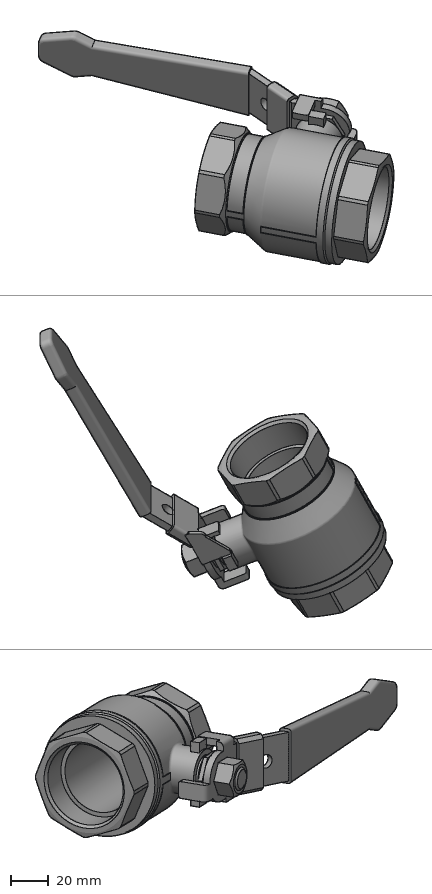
import cadquery as cq
import math


edge_margin = 0.2

half_length = 47.0
barrel_radius = 33.5
band_height = 0.52
band_width = 4.2
collar_radius = barrel_radius + band_height
neck_radius = 26.65
neck_left = -30.1
neck_right = -20.0
cone_right = -8.8
cone_rounding = 2.0
collar_left = 21.65
collar_right = 25.5
collar_foot = 26.3
shoulder_radius = 33.2
shoulder_right = 30.1
panel_margin = 0.6

octagon_radius = 29.3
octagon_apothem = 27.4
end_chamfer_radius = 26.5
end_chamfer_length = 0.6
corner_cone_length = 2.5

port_diameter = 40.0
thread_diameter = 44.7
thread_depth = 16.7
entry_diameter = 47.7
entry_depth = 1.5

stem_diameter = 26.0
stem_top = 47.5
stem_fillet = 1.3
stop_half_width = 4.2
stop_half_length = 18.0
stop_bottom = 41.2
stop_top = 46.5
gland_diameter = 20.0
gland_top = 48.7
gland_nut_bottom = 50.0
gland_nut_top = 52.5
gland_nut_corners = 25.7
collar_diameter = 18.5
spindle_diameter = 13.4
spindle_top = 69.6
spindle_chamfer = 1.5
nut_corners = 20.7
nut_top = 68.5
nut_chamfer_rise = 1.3
nut_chamfer_inset = 2.5

sheet = 4.0
plate_bottom = 54.2
plate_top = plate_bottom + sheet
plate_half_width = 13.5
plate_arc_centre = 1.3
bend_x = -17.1
strip_angle = 30.0
strip_length = 34.3
strip_hole_diameter = 7.5
strip_hole_place = 19.7
tab_bottom = 41.2
bend_radius = 2.7
tab_corner = 1.5

end_tab_outer = 18.5
end_tab_low = -9.5
end_tab_high = 0.0

side_tab_left = -13.28
side_tab_right = -4.2
side_tab_root_right = -0.8
side_tab_outer = 18.5

grip_left = -162.0
grip_right = -45.2
grip_waist = -132.0
grip_widest = -142.5
grip_right_half_width = 15.3
grip_waist_half_width = 10.5
grip_widest_half_width = 14.2
grip_left_half_width = 7.1
grip_top_left = 79.7
grip_top_right = 75.7
grip_bottom_left = 72.3
grip_bottom_right = 68.8
grip_fillet = 1.9
grip_corner = 4.0

slide_wall = 1.78
slide_half_width = 15.7
slide_start = 1.5
slide_end = 17.0
slide_fillet = 1.7
slide_chamfer = 2.0
lock_tab_left = -19.0
lock_tab_right = -16.62
lock_tab_low = -13.8
lock_tab_high = -4.4
lock_tab_bottom = 41.8
wing_inner = 13.5
wing_outer = 15.9
wing_left = -25.0
wing_top = 58.5
wing_left_bottom = 56.0
wing_heel_start = (-23.0, 51.6)
wing_heel_middle = (-21.7, 49.8)
wing_heel_end = (-19.5, 49.0)
wing_toe = -6.3


def cylinder_x(radius, start, end):
    return cq.Workplane("YZ", origin=(start, 0, 0)).circle(radius).extrude(end - start)


def cylinder_y(diameter, start, end):
    return cq.Workplane("XZ", origin=(0, start, 0)).circle(diameter / 2).extrude(start - end)


def hexagon_y(corners, start, end):
    return cq.Workplane("XZ", origin=(0, start, 0)).polygon(6, corners).extrude(start - end)


def box_between(x_range, y_range, z_range):
    sizes = [high - low for low, high in (x_range, y_range, z_range)]
    corner = (x_range[0], y_range[0], z_range[0])
    return cq.Workplane("XY").box(*sizes, centered=False).translate(corner)


def turned_x(points):
    """Solid of revolution about X from (x, radius) points."""
    return cq.Workplane("XY").polyline(points).close().revolve(360, (0, 0, 0), (1, 0, 0))


def octagon_prism(start, end):
    corner_diameter = 2 * octagon_apothem / math.cos(math.pi / 8)
    return cq.Workplane("YZ", origin=(start, 0, 0)).polygon(8, corner_diameter).extrude(end - start)


def pipe_ends():
    """Octagonal ends with turned corners and chamfered faces."""
    left_turning = turned_x([
        (-half_length, 0),
        (-half_length, end_chamfer_radius),
        (-half_length + end_chamfer_length, octagon_radius),
        (neck_left - corner_cone_length, octagon_radius),
        (neck_left, neck_radius),
        (neck_left, 0),
    ])
    right_turning = turned_x([
        (shoulder_right, 0),
        (shoulder_right, octagon_radius),
        (half_length - end_chamfer_length, octagon_radius),
        (half_length, end_chamfer_radius),
        (half_length, 0),
    ])
    left_end = octagon_prism(-half_length, neck_left).intersect(left_turning)
    right_end = octagon_prism(shoulder_right, half_length).intersect(right_turning)
    return left_end, right_end


def barrel():
    """Turned shape between the two octagonal ends."""
    turned = turned_x([
        (neck_left, 0),
        (neck_left, neck_radius),
        (neck_right, neck_radius),
        (cone_right, barrel_radius),
        (collar_left, barrel_radius),
        (collar_left, collar_radius),
        (collar_right, collar_radius),
        (collar_foot, shoulder_radius),
        (shoulder_right, shoulder_radius),
        (shoulder_right, 0),
    ])
    cone_edge = cq.selectors.BoxSelector(
        (cone_right - edge_margin, -2 * barrel_radius, -2 * barrel_radius),
        (cone_right + edge_margin, 2 * barrel_radius, 2 * barrel_radius),
        boundingbox=True,
    )
    return turned.edges(cone_edge).fillet(cone_rounding)


def parting_slab():
    """Slab in which the parting bands of the neck and the barrel lie."""
    return cq.Workplane("XY").box(4 * half_length, 4 * barrel_radius, band_width)


def neck_panels():
    """Ring cutter for the recessed neck panels, interrupted at the parting bands."""
    start = neck_left + panel_margin
    end = neck_right - panel_margin
    ring = cylinder_x(barrel_radius, start, end).cut(cylinder_x(neck_radius - band_height, start, end))
    return ring.cut(parting_slab())


def barrel_bands():
    """Raised parting bands, from the cone to the collar."""
    return cylinder_x(collar_radius, cone_right, collar_left).intersect(parting_slab())


def bore():
    """Through port with a wider, chamfered thread bore at each end."""
    thread_end = half_length - thread_depth
    entry_end = half_length - entry_depth
    return turned_x([
        (-half_length, 0),
        (-half_length, entry_diameter / 2),
        (-entry_end, thread_diameter / 2),
        (-thread_end, thread_diameter / 2),
        (-thread_end, port_diameter / 2),
        (thread_end, port_diameter / 2),
        (thread_end, thread_diameter / 2),
        (entry_end, thread_diameter / 2),
        (half_length, entry_diameter / 2),
        (half_length, 0),
    ])


def lever_nut():
    """Hexagon nut above the lever plate, with turned upper corners."""
    corner_radius = nut_corners / 2
    turning = (
        cq.Workplane("XY")
        .polyline([
            (0, plate_top),
            (corner_radius, plate_top),
            (corner_radius, nut_top - nut_chamfer_rise),
            (corner_radius - nut_chamfer_inset, nut_top),
            (0, nut_top),
        ])
        .close()
        .revolve(360, (0, 0, 0), (0, 1, 0))
    )
    return hexagon_y(nut_corners, plate_top, nut_top).intersect(turning)


def stop_bar():
    """Bar across the stem that stops the lever tabs."""
    return box_between(
        (-stop_half_width, stop_half_width), (stop_bottom, stop_top), (-stop_half_length, stop_half_length)
    )


def make_valve():
    """Valve body with its stem, spindle and lever nut."""
    valve = barrel()
    valve = valve.union(cylinder_y(stem_diameter, 0, stem_top))
    reach = stem_diameter / 2 + stem_fillet
    stem_foot = cq.selectors.BoxSelector(
        (-reach, neck_radius, -reach), (reach, collar_radius, reach), boundingbox=True
    )
    valve = valve.edges(stem_foot).fillet(stem_fillet)
    valve = valve.union(barrel_bands()).cut(neck_panels())
    for pipe_end in pipe_ends():
        valve = valve.union(pipe_end)
    valve = valve.cut(bore())

    spindle = cylinder_y(spindle_diameter, stem_top, spindle_top).faces(">Y").chamfer(spindle_chamfer)
    stem_parts = [
        stop_bar(),
        cylinder_y(gland_diameter, stem_top, gland_top),
        cylinder_y(collar_diameter, gland_top, plate_bottom),
        hexagon_y(gland_nut_corners, gland_nut_bottom, gland_nut_top),
        spindle,
        lever_nut(),
    ]
    for stem_part in stem_parts:
        valve = valve.union(stem_part)
    return valve


def along_strip(solid):
    """Places a solid modelled along -X from the origin onto the sloping strip."""
    return solid.rotate((0, 0, 0), (0, 0, 1), -strip_angle).translate((bend_x, plate_bottom, 0))


def lever_plate():
    """Flat plate around the spindle, rounded towards +X."""
    straight = box_between(
        (bend_x, plate_arc_centre), (plate_bottom, plate_top), (-plate_half_width, plate_half_width)
    )
    rounded = cylinder_y(2 * plate_half_width, plate_bottom, plate_top).translate((plate_arc_centre, 0, 0))
    return straight.union(rounded)


def end_tab():
    """Tab bent down from the +X end of the plate."""
    z_range = (end_tab_low, end_tab_high)
    root = box_between((0, end_tab_outer), (plate_bottom, plate_top), z_range)
    tab = box_between((end_tab_outer - sheet, end_tab_outer), (tab_bottom, plate_top), z_range)
    rounded_tab = tab.edges("|X and <Y").fillet(tab_corner)
    return root.union(rounded_tab).edges(">X and >Y").fillet(bend_radius)


def side_tab():
    """Tab bent down from the +Z side of the plate."""
    root = box_between(
        (side_tab_left, side_tab_root_right), (plate_bottom, plate_top), (0, side_tab_outer)
    )
    bent = root.edges(">Z and >Y").fillet(bend_radius)
    tab = box_between(
        (side_tab_left, side_tab_right), (tab_bottom, plate_bottom), (side_tab_outer - sheet, side_tab_outer)
    )
    return bent.union(tab.edges("|Z and <Y").fillet(tab_corner))


def strip():
    """Sloping strip between the plate and the grip."""
    return along_strip(
        box_between((-strip_length, 0), (0, sheet), (-plate_half_width, plate_half_width))
    )


def padlock_hole():
    return along_strip(
        cylinder_y(strip_hole_diameter, 0, sheet).translate((-strip_hole_place, 0, 0))
    )


def lock_slide():
    """Sleeve around the strip, with rounded lower and chamfered upper long edges."""
    sleeve = box_between(
        (-slide_end, -slide_start), (-slide_wall, sheet + slide_wall), (-slide_half_width, slide_half_width)
    )
    sleeve = sleeve.edges("|X and <Y").fillet(slide_fillet)
    return along_strip(sleeve.edges("|X and >Y").chamfer(slide_chamfer))


def lock_wing():
    """Side plate below the lock slide, on the -Z side."""
    return (
        cq.Workplane("XY", origin=(0, 0, -wing_outer))
        .moveTo(bend_x, plate_top)
        .lineTo(wing_left, wing_top)
        .lineTo(wing_left, wing_left_bottom)
        .lineTo(*wing_heel_start)
        .threePointArc(wing_heel_middle, wing_heel_end)
        .lineTo(wing_toe, tab_bottom)
        .lineTo(side_tab_right, tab_bottom)
        .lineTo(side_tab_right, plate_top)
        .close()
        .extrude(wing_outer - wing_inner)
    )


def lock_tab():
    """Tab hanging from the lock slide."""
    tab = box_between(
        (lock_tab_left, lock_tab_right),
        (lock_tab_bottom, plate_bottom + slide_wall),
        (lock_tab_low, lock_tab_high),
    )
    return tab.edges("|X and <Y and >Z").fillet(tab_corner)


def grip():
    """Tapered grip with a widened tip; its outline edges and tip corners are rounded."""
    outline = [
        (grip_right, grip_right_half_width),
        (grip_waist, grip_waist_half_width),
        (grip_widest, grip_widest_half_width),
        (grip_left, grip_left_half_width),
    ]
    mirrored = [(x, -z) for x, z in reversed(outline)]
    planform = cq.Workplane("XZ").polyline(outline + mirrored).close().extrude(-2 * grip_top_left)
    tip_corners = cq.selectors.BoxSelector(
        (2 * grip_left, 0, -grip_top_left), (grip_waist - edge_margin, 2 * grip_top_left, grip_top_left)
    )
    planform = planform.edges("|Y").edges(tip_corners).fillet(grip_corner)
    side = (
        cq.Workplane("XY")
        .polyline([
            (grip_left, grip_bottom_left),
            (grip_right, grip_bottom_right),
            (grip_right, grip_top_right),
            (grip_left, grip_top_left),
        ])
        .close()
        .extrude(2 * grip_right_half_width, both=True)
    )
    blank = planform.intersect(side)
    return blank.faces(">Y or <Y").edges("not >X").fillet(grip_fillet)


def make_lever():
    """Bent lever with its grip, stop tabs and lock slide."""
    lever = lever_plate()
    for piece in (end_tab(), side_tab(), strip(), lock_slide(), lock_wing(), lock_tab(), grip()):
        lever = lever.union(piece)
    return lever.cut(padlock_hole()).cut(cylinder_y(spindle_diameter, plate_bottom, plate_top))


valve = make_valve()
lever = make_lever()

result = cq.Compound.makeCompound([valve.solids().val(), lever.solids().val()])